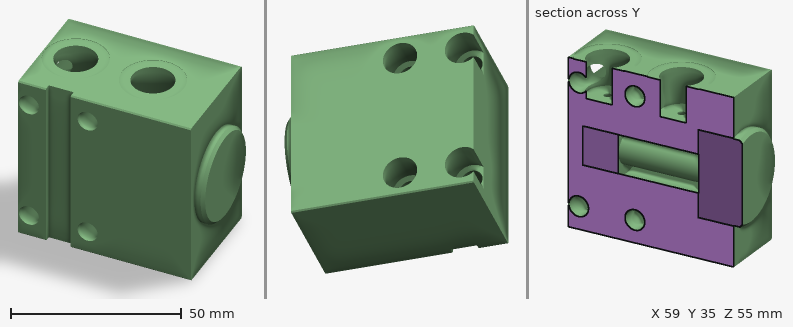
import cadquery as cq


overall_length = 59.0
gland_protrusion = 3.0
block_length = overall_length - gland_protrusion
block_depth = 35.0
block_height = 55.0
long_edge_chamfer = 0.4
front_face_y = -block_depth / 2
back_face_y = block_depth / 2
top_face_z = block_height / 2

groove_start_x = 9.0
groove_width = 8.0
groove_depth = 2.0

mount_hole_diameter = 6.5
mount_counterbore_diameter = 10.5
mount_counterbore_depth = 10.05
mount_first_x = 3.55
mount_spacing_x = 19.0
mount_spacing_z = 40.0

port_first_x = 10.45
port_spacing_x = 25.0
port_diameter = 13.2
port_depth = 12.0
spot_face_diameter = 20.0
spot_face_depth = 0.1
oil_hole_diameter = 2.5

bore_start_x = 5.0
bore_diameter = 16.0
piston_length = 12.0
rod_diameter = 9.75
gland_diameter = 30.0
gland_seat_depth = 12.0
gland_chamfer = 1.0
gland_start_x = block_length - gland_seat_depth
gland_length = gland_seat_depth + gland_protrusion


def x_cylinder(diameter, start_x, length):
    """Cylinder on the X axis."""
    return cq.Workplane("YZ").workplane(offset=start_x).circle(diameter / 2).extrude(length)


def y_cylinder(diameter, x, z, start_y, length):
    """Cylinder along +Y, starting at start_y."""
    axis = cq.Vector(0, 1, 0)
    return cq.Workplane(cq.Solid.makeCylinder(diameter / 2, length, cq.Vector(x, start_y, z), axis))


def z_cylinder(diameter, x, top_z, bottom_z):
    """Upright cylinder in the mid plane Y = 0."""
    return cq.Workplane("XY", origin=(x, 0, bottom_z)).circle(diameter / 2).extrude(top_z - bottom_z)


def make_block():
    """Block with chamfers on its four edges along X."""
    block = cq.Workplane("XY").box(block_length, block_depth, block_height, centered=(False, True, True))
    return block.edges("|X").chamfer(long_edge_chamfer)


def make_groove():
    groove = cq.Workplane("XY").box(groove_width, groove_depth, block_height, centered=(False, False, True))
    return groove.translate((groove_start_x, front_face_y, 0))


def make_mounting_hole(x, z):
    hole = y_cylinder(mount_hole_diameter, x, z, front_face_y, block_depth)
    counterbore_start_y = back_face_y - mount_counterbore_depth
    counterbore = y_cylinder(mount_counterbore_diameter, x, z, counterbore_start_y, mount_counterbore_depth)
    return hole.union(counterbore)


def make_port(x):
    """Spot face, port and the oil hole that reaches the cylinder axis."""
    spot_face = z_cylinder(spot_face_diameter, x, top_face_z, top_face_z - spot_face_depth)
    port = z_cylinder(port_diameter, x, top_face_z, top_face_z - port_depth)
    oil_hole = z_cylinder(oil_hole_diameter, x, top_face_z, 0)
    return spot_face.union(port).union(oil_hole)


def make_housing():
    housing = make_block().cut(make_groove())
    for x in (mount_first_x, mount_first_x + mount_spacing_x):
        for z in (-mount_spacing_z / 2, mount_spacing_z / 2):
            housing = housing.cut(make_mounting_hole(x, z))
    for x in (port_first_x, port_first_x + port_spacing_x):
        housing = housing.cut(make_port(x))
    bore = x_cylinder(bore_diameter, bore_start_x, gland_start_x - bore_start_x)
    gland_seat = x_cylinder(gland_diameter, gland_start_x, gland_seat_depth)
    return housing.cut(bore).cut(gland_seat)


def make_piston():
    """Piston at the closed end of the bore, with a rod flush with the gland's outer face."""
    head = x_cylinder(bore_diameter, bore_start_x, piston_length)
    rod = x_cylinder(rod_diameter, bore_start_x, overall_length - bore_start_x)
    return head.union(rod)


def make_gland():
    """Ring around the rod, chamfered on its outer rim."""
    gland = x_cylinder(gland_diameter, gland_start_x, gland_length)
    gland = gland.faces(">X").edges().chamfer(gland_chamfer)
    return gland.cut(x_cylinder(rod_diameter, gland_start_x, gland_length))


housing = make_housing()
piston = make_piston()
gland = make_gland()

result = cq.Compound.makeCompound([housing.solids().val(), piston.solids().val(), gland.solids().val()])